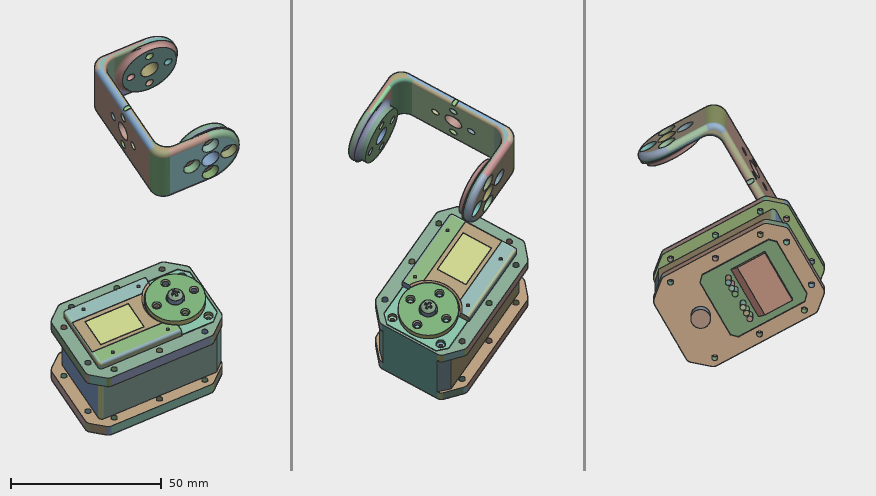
import cadquery as cq
import math


SCREW_CIRCLE_RADIUS = 7.0

FLANGE_WIDTH = 35.5
FLANGE_REAR_Y = 11.5
FLANGE_FRONT_Y = -40.0
FLANGE_THICKNESS = 4.5
FLANGE_CORNER_ROUND = 2.5
REAR_CORNER_CUT = (5.9, 6.8)
FRONT_CORNER_CUT = (5.0, 5.8)
FLANGE_HOLE_DIAMETER = 2.0
SIDE_HOLE_X = 15.0
SIDE_HOLE_Y = 3.0
FRONT_HOLE_X = 8.5
FRONT_HOLE_Y = -37.3
HOLE_PITCH = 17.0
HOLES_PER_SIDE = 3
CASE_BOTTOM_Z = 6.2
CASE_HEIGHT = 30.2
CASE_WIDTH = 27.8
CASE_FRONT_Y = -35.7
CASE_FRONT_ROUND = 1.4
CASE_REAR_CHAMFER = 3.3

CASE_TOP_Z = CASE_BOTTOM_Z + CASE_HEIGHT

RECESS_WIDTH = 25.2
RECESS_REAR_Y = 10.6
RECESS_CHAMFER = 3.0
RECESS_DEPTH = 0.3
CASE_SCREW_X = 9.4
CASE_SCREW_Y = 7.5
CASE_SCREW_DIAMETER = 3.0
CASE_SCREW_PILOT_DIAMETER = 1.27
CASE_SCREW_DEPTH = 1.5
COVER_WIDTH = 26.1
COVER_REAR_Y = -4.5
COVER_FRONT_Y = -35.4
COVER_HEIGHT = 2.7
COVER_CORNER_ROUND = 1.0
COVER_EDGE_ROUND = 0.9
COVER_HOLE_DIAMETER = 1.0
COVER_HOLE_X = 10.3
COVER_HOLE_Y = (-8.3, -29.0)
COVER_HOLE_DEPTH = 1.5
HORN_CLEARANCE_RADIUS = 10.5
HORN_CLEARANCE_CHAMFER = 0.8
CHANNEL_WIDTH = 14.1
LABEL_WIDTH = 11.1
LABEL_REAR_Y = -14.7
LABEL_FRONT_Y = -31.0
ENGRAVING_DEPTH = 0.2

COVER_TOP_Z = CASE_TOP_Z + COVER_HEIGHT

BASE_WIDTH = 24.6
BASE_REAR_Y = -5.5
BASE_FRONT_Y = -34.6
BASE_THICKNESS = 0.8
BASE_CORNER_CHAMFER = 2.0
PAD_WIDTH = 18.8
PAD_REAR_Y = -16.7
PAD_FRONT_Y = -29.6
PAD_THICKNESS = 1.8
PAD_RAMP = 2.5
PIVOT_DIAMETER = 6.5
PIVOT_LENGTH = 3.5

BASE_BOTTOM_Z = CASE_BOTTOM_Z - BASE_THICKNESS

PIN_DIAMETER = 2.0
PIN_PITCH = 2.3
PINS_PER_GROUP = 3
PIN_GROUP_X = 5.0
PIN_Y = -14.5
LEFT_PIN_TIP_Z = 0.0
RIGHT_PIN_TIP_Z = 0.5

COLLAR_DIAMETER = 10.0
HORN_DIAMETER = 20.0
COLLAR_HEIGHT = 0.9
HORN_BOTTOM_Z = CASE_TOP_Z + COLLAR_HEIGHT
HORN_THICKNESS = 2.3
HORN_HOLE_DIAMETER = 2.1
HORN_HOLE_MOUTH_DIAMETER = 3.0
HORN_BORE_DIAMETER = 6.0
HORN_BORE_DEPTH = 0.8
SCREW_HEAD_DIAMETER = 5.2
SCREW_SHOULDER_Z = 41.1
SCREW_TOP_Z = 42.3
CROSS_LENGTH = 2.6
CROSS_WIDTH = 0.8
CROSS_DEPTH = 0.9

HORN_TOP_Z = HORN_BOTTOM_Z + HORN_THICKNESS

BRACKET_LENGTH = 48.0
BRACKET_HEIGHT = 23.0
BRACKET_TOP_Z = 151.8
BRACKET_BACK_Y = -20.0
BRACKET_THICKNESS = 3.0
BRACKET_BEND_RADIUS = 5.0
OUTER_EDGE_ROUND = 1.8
INNER_EDGE_ROUND = 1.0
BOSS_RADIUS = 10.2
BOSS_FLARE = 1.8
LEFT_BOSS_HEIGHT = 2.0
RIGHT_BOSS_HEIGHT = 3.5
ARM_BORE_DIAMETER = 6.5
SCREW_HOLE_DIAMETER = 2.9
COUNTERBORE_DIAMETER = 6.0
COUNTERBORE_DEPTH = 3.0
BACK_BORE_DIAMETER = 6.5
BACK_HOLE_DIAMETER = 2.9
NOTCH_DIAMETER = 1.5

BRACKET_CENTER_X = (RIGHT_BOSS_HEIGHT - LEFT_BOSS_HEIGHT) / 2
BRACKET_CENTER_Z = BRACKET_TOP_Z - BRACKET_HEIGHT / 2
ARM_END_RADIUS = BRACKET_HEIGHT / 2
LEFT_FACE_X = BRACKET_CENTER_X - BRACKET_LENGTH / 2
RIGHT_FACE_X = BRACKET_CENTER_X + BRACKET_LENGTH / 2


def disc(diameter, bottom_z, height, x=0, y=0):
    """Upright cylinder standing on bottom_z."""
    return cq.Workplane("XY", origin=(x, y, bottom_z)).circle(diameter / 2).extrude(height)


def block(width, rear_y, front_y, bottom_z, height):
    """Block centred on X = 0, from front_y to rear_y."""
    center_y = (rear_y + front_y) / 2
    base = cq.Workplane("XY", origin=(0, center_y, bottom_z))
    return base.rect(width, rear_y - front_y).extrude(height)


def cross_points(radius):
    """Four places on a circle, one on each half axis."""
    return [(radius, 0), (-radius, 0), (0, radius), (0, -radius)]


def flange(bottom_z):
    half = FLANGE_WIDTH / 2
    rear_x, rear_y = half - REAR_CORNER_CUT[0], FLANGE_REAR_Y - REAR_CORNER_CUT[1]
    front_x, front_y = half - FRONT_CORNER_CUT[0], FLANGE_FRONT_Y + FRONT_CORNER_CUT[1]
    outline = [
        (rear_x, FLANGE_REAR_Y), (half, rear_y), (half, front_y), (front_x, FLANGE_FRONT_Y),
        (-front_x, FLANGE_FRONT_Y), (-half, front_y), (-half, rear_y), (-rear_x, FLANGE_REAR_Y),
    ]
    plate = cq.Workplane("XY", origin=(0, 0, bottom_z)).polyline(outline).close()
    plate = plate.extrude(FLANGE_THICKNESS).edges("|Z").fillet(FLANGE_CORNER_ROUND)
    side_rows = [SIDE_HOLE_Y - i * HOLE_PITCH for i in range(HOLES_PER_SIDE)]
    side_holes = [(s * SIDE_HOLE_X, y) for s in (-1, 1) for y in side_rows]
    front_holes = [(s * FRONT_HOLE_X, FRONT_HOLE_Y) for s in (-1, 1)]
    holes = cq.Workplane("XY", origin=(0, 0, bottom_z)).pushPoints(side_holes + front_holes)
    return plate.cut(holes.circle(FLANGE_HOLE_DIAMETER / 2).extrude(FLANGE_THICKNESS))


def case_core():
    core = block(CASE_WIDTH, FLANGE_REAR_Y, CASE_FRONT_Y, CASE_BOTTOM_Z, CASE_HEIGHT)
    core = core.edges("|Z and <Y").fillet(CASE_FRONT_ROUND)
    return core.edges("|Z and >Y").chamfer(CASE_REAR_CHAMFER)


def top_recess():
    recess = block(RECESS_WIDTH, RECESS_REAR_Y, COVER_REAR_Y, CASE_TOP_Z - RECESS_DEPTH, RECESS_DEPTH)
    return recess.edges("|Z and >Y").chamfer(RECESS_CHAMFER)


def case_screw_hole(x):
    floor_z = CASE_TOP_Z - RECESS_DEPTH - CASE_SCREW_DEPTH
    mouth = disc(CASE_SCREW_DIAMETER, floor_z, CASE_SCREW_DEPTH, x, CASE_SCREW_Y)
    pilot_z = floor_z - CASE_SCREW_DEPTH
    pilot = disc(CASE_SCREW_PILOT_DIAMETER, pilot_z, CASE_SCREW_DEPTH, x, CASE_SCREW_Y)
    return mouth.union(pilot)


def cover():
    plate = block(COVER_WIDTH, COVER_REAR_Y, COVER_FRONT_Y, CASE_TOP_Z, COVER_HEIGHT)
    plate = plate.edges("|Z and <Y").fillet(COVER_CORNER_ROUND)
    plate = plate.faces(">Z").edges("not >Y").fillet(COVER_EDGE_ROUND)
    plate = plate.cut(disc(2 * HORN_CLEARANCE_RADIUS, CASE_TOP_Z, COVER_HEIGHT))
    rim = cq.Workplane("XY", origin=(0, 0, COVER_TOP_Z - HORN_CLEARANCE_CHAMFER))
    rim = rim.circle(HORN_CLEARANCE_RADIUS).workplane(offset=HORN_CLEARANCE_CHAMFER)
    rim = rim.circle(HORN_CLEARANCE_RADIUS + HORN_CLEARANCE_CHAMFER).loft()
    plate = plate.cut(rim)
    engraving_z = COVER_TOP_Z - ENGRAVING_DEPTH
    plate = plate.cut(block(CHANNEL_WIDTH, COVER_REAR_Y, COVER_FRONT_Y, engraving_z, ENGRAVING_DEPTH))
    label_z = engraving_z - ENGRAVING_DEPTH
    plate = plate.cut(block(LABEL_WIDTH, LABEL_REAR_Y, LABEL_FRONT_Y, label_z, ENGRAVING_DEPTH))
    hole_floor_z = COVER_TOP_Z - COVER_HOLE_DEPTH
    for x in (-COVER_HOLE_X, COVER_HOLE_X):
        for y in COVER_HOLE_Y:
            plate = plate.cut(disc(COVER_HOLE_DIAMETER, hole_floor_z, COVER_HOLE_DEPTH, x, y))
    return plate


def base_plate():
    plate = block(BASE_WIDTH, BASE_REAR_Y, BASE_FRONT_Y, BASE_BOTTOM_Z, BASE_THICKNESS)
    return plate.edges("|Z").chamfer(BASE_CORNER_CHAMFER)


def connector_pad():
    pad_bottom_z = BASE_BOTTOM_Z - PAD_THICKNESS
    side = [
        (PAD_REAR_Y, BASE_BOTTOM_Z), (PAD_REAR_Y - PAD_RAMP, pad_bottom_z),
        (PAD_FRONT_Y, pad_bottom_z), (PAD_FRONT_Y, BASE_BOTTOM_Z),
    ]
    return cq.Workplane("YZ").polyline(side).close().extrude(PAD_WIDTH / 2, both=True)


def make_case():
    case = case_core().union(flange(CASE_BOTTOM_Z)).union(flange(CASE_TOP_Z - FLANGE_THICKNESS))
    case = case.cut(top_recess())
    for x in (-CASE_SCREW_X, CASE_SCREW_X):
        case = case.cut(case_screw_hole(x))
    collar_bottom_z = CASE_TOP_Z - RECESS_DEPTH
    case = case.union(disc(COLLAR_DIAMETER, collar_bottom_z, HORN_BOTTOM_Z - collar_bottom_z))
    case = case.union(cover()).union(base_plate()).union(connector_pad())
    return case.union(disc(PIVOT_DIAMETER, CASE_BOTTOM_Z - PIVOT_LENGTH, PIVOT_LENGTH))


def make_pin(x, tip_z):
    return disc(PIN_DIAMETER, tip_z, BASE_BOTTOM_Z - tip_z, x, PIN_Y)


def make_pins():
    pins = []
    for group_x, tip_z in ((-PIN_GROUP_X, LEFT_PIN_TIP_Z), (PIN_GROUP_X, RIGHT_PIN_TIP_Z)):
        for i in range(PINS_PER_GROUP):
            offset = (i - (PINS_PER_GROUP - 1) / 2) * PIN_PITCH
            pins.append(make_pin(group_x + offset, tip_z))
    return pins


def make_horn():
    horn = disc(HORN_DIAMETER, HORN_BOTTOM_Z, HORN_THICKNESS)
    horn = horn.cut(disc(HORN_BORE_DIAMETER, HORN_TOP_Z - HORN_BORE_DEPTH, HORN_BORE_DEPTH))
    for x, y in cross_points(SCREW_CIRCLE_RADIUS):
        horn = horn.cut(disc(HORN_HOLE_DIAMETER, HORN_BOTTOM_Z, HORN_THICKNESS, x, y))
        mouth_depth = (HORN_HOLE_MOUTH_DIAMETER - HORN_HOLE_DIAMETER) / 2
        mouth = cq.Workplane("XY", origin=(x, y, HORN_TOP_Z - mouth_depth))
        mouth = mouth.circle(HORN_HOLE_DIAMETER / 2).workplane(offset=mouth_depth)
        horn = horn.cut(mouth.circle(HORN_HOLE_MOUTH_DIAMETER / 2).loft())
    return horn


def make_horn_screw():
    seat_z = HORN_TOP_Z - HORN_BORE_DEPTH
    radius = SCREW_HEAD_DIAMETER / 2
    dome_height = SCREW_TOP_Z - SCREW_SHOULDER_Z
    dome_radius = (radius**2 + dome_height**2) / (2 * dome_height)
    middle = radius / 2
    middle_z = SCREW_TOP_Z - dome_radius + math.sqrt(dome_radius**2 - middle**2)
    head = cq.Workplane("XZ").moveTo(0, seat_z).lineTo(radius, seat_z).lineTo(radius, SCREW_SHOULDER_Z)
    head = head.threePointArc((middle, middle_z), (0, SCREW_TOP_Z))
    head = head.close().revolve(360, (0, 0, 0), (0, 1, 0))
    cross = cq.Workplane("XY", origin=(0, 0, SCREW_TOP_Z - CROSS_DEPTH))
    head = head.cut(cross.rect(CROSS_LENGTH, CROSS_WIDTH).extrude(CROSS_DEPTH))
    return head.cut(cross.rect(CROSS_WIDTH, CROSS_LENGTH).extrude(CROSS_DEPTH))


def arm_silhouette():
    """Side outline of the bracket through its whole length: round at the arm ends."""
    side = cq.Workplane("YZ", origin=(LEFT_FACE_X, 0, BRACKET_CENTER_Z))
    side = side.moveTo(BRACKET_BACK_Y, -ARM_END_RADIUS).lineTo(0, -ARM_END_RADIUS)
    side = side.threePointArc((ARM_END_RADIUS, 0), (0, ARM_END_RADIUS))
    return side.lineTo(BRACKET_BACK_Y, ARM_END_RADIUS).close().extrude(BRACKET_LENGTH)


def bent_strip():
    outer = arm_silhouette().edges("|Z and <Y").fillet(BRACKET_BEND_RADIUS)
    inner_back_y = BRACKET_BACK_Y + BRACKET_THICKNESS
    inner_length = BRACKET_LENGTH - 2 * BRACKET_THICKNESS
    reach = ARM_END_RADIUS - inner_back_y
    inner = cq.Workplane("XY").box(inner_length, reach, BRACKET_HEIGHT)
    inner = inner.translate((BRACKET_CENTER_X, inner_back_y + reach / 2, BRACKET_CENTER_Z))
    inner = inner.edges("|Z and <Y").fillet(BRACKET_BEND_RADIUS)
    strip = outer.cut(inner)
    strip = strip.faces("<X or >X or <Y").edges("not |Z").fillet(OUTER_EDGE_ROUND)
    back_middle = (BRACKET_CENTER_X, inner_back_y, BRACKET_CENTER_Z)
    inner_back_face = strip.faces(cq.selectors.NearestToPointSelector(back_middle))
    return inner_back_face.edges(">Z or <Z").fillet(INNER_EDGE_ROUND)


def boss(arm_face_x, height, inward):
    """Round boss on the inside of an arm, with a concave flare at its root."""
    plane = cq.Plane((arm_face_x, 0, BRACKET_CENTER_Z), xDir=(0, 1, 0), normal=(0, 0, -inward))
    corner = BOSS_FLARE * (1 - math.sqrt(0.5))
    half = cq.Workplane(plane).lineTo(BOSS_RADIUS + BOSS_FLARE, 0)
    half = half.threePointArc((BOSS_RADIUS + corner, corner), (BOSS_RADIUS, BOSS_FLARE))
    half = half.lineTo(BOSS_RADIUS, height).lineTo(0, height).close()
    return half.revolve(360, (0, 0, 0), (0, 1, 0)).intersect(arm_silhouette())


def screw_pattern(plane, bore_diameter, hole_diameter, depth):
    """Centre bore with four screw holes around it."""
    bore = cq.Workplane(plane).circle(bore_diameter / 2).extrude(depth)
    holes = cq.Workplane(plane).pushPoints(cross_points(SCREW_CIRCLE_RADIUS))
    return bore.union(holes.circle(hole_diameter / 2).extrude(depth))


def along_x(x):
    return cq.Plane((x, 0, BRACKET_CENTER_Z), xDir=(0, 1, 0), normal=(1, 0, 0))


def arm_holes():
    """Screw pattern through both arms, with counterbores on their outer sides."""
    holes = screw_pattern(along_x(LEFT_FACE_X), ARM_BORE_DIAMETER, SCREW_HOLE_DIAMETER, BRACKET_LENGTH)
    for x in (LEFT_FACE_X, RIGHT_FACE_X - COUNTERBORE_DEPTH):
        seats = cq.Workplane(along_x(x)).pushPoints(cross_points(SCREW_CIRCLE_RADIUS))
        holes = holes.union(seats.circle(COUNTERBORE_DIAMETER / 2).extrude(COUNTERBORE_DEPTH))
    return holes


def back_holes():
    """Screw pattern through the back plate, with a round notch at its top and bottom edge."""
    back_center = (BRACKET_CENTER_X, BRACKET_BACK_Y, BRACKET_CENTER_Z)
    plane = cq.Plane(back_center, xDir=(1, 0, 0), normal=(0, 1, 0))
    holes = screw_pattern(plane, BACK_BORE_DIAMETER, BACK_HOLE_DIAMETER, BRACKET_THICKNESS)
    notch_places = [(0, -BRACKET_HEIGHT / 2), (0, BRACKET_HEIGHT / 2)]
    notches = cq.Workplane(plane).pushPoints(notch_places).circle(NOTCH_DIAMETER / 2)
    return holes.union(notches.extrude(BRACKET_THICKNESS))


def make_bracket():
    left_boss = boss(LEFT_FACE_X + BRACKET_THICKNESS, LEFT_BOSS_HEIGHT, 1)
    right_boss = boss(RIGHT_FACE_X - BRACKET_THICKNESS, RIGHT_BOSS_HEIGHT, -1)
    bracket = bent_strip().union(left_boss).union(right_boss)
    return bracket.cut(arm_holes()).cut(back_holes())


case = make_case()
pins = make_pins()
horn = make_horn()
horn_screw = make_horn_screw()
bracket = make_bracket()

bodies = [case, *pins, horn, horn_screw, bracket]

result = cq.Compound.makeCompound([body.solids().val() for body in bodies])